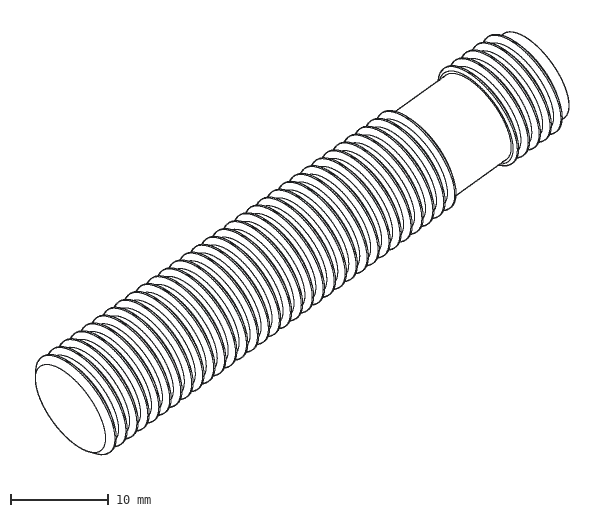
import cadquery as cq
import math

length = 64.5
crest_diameter = 12.0
root_diameter = 10.65
crest_radius = crest_diameter / 2
root_radius = root_diameter / 2
thread_height = crest_radius - root_radius

crest_width = 0.2
flank_half_angle = math.radians(30)
root_width = crest_width + 2 * thread_height * math.tan(flank_half_angle)
nose_chamfer = thread_height

main_ridge_count = 32
main_first = nose_chamfer + crest_width / 2
main_last = 48.05
rear_ridge_count = 5
rear_first = 56.8
rear_last = 62.85

shoulder_y = 56.45
shoulder_drop = (rear_first - crest_width / 2 - shoulder_y) / math.tan(flank_half_angle)
shoulder_radius = crest_radius - shoulder_drop

sensing_radius = 4.8
sensing_depth = 0.65
window_radius = 1.4
window_depth = 0.65
window_count = 4
window_y = 53.2


def disc(radius, thickness, start):
    """Cylinder about the Y axis, reaching from `start` toward +Y."""
    return cq.Workplane("XZ", origin=(0, start, 0)).circle(radius).extrude(-thickness)


def ridge_centres(first, last, count):
    """Evenly spaced ridge positions, including both ends."""
    pitch = (last - first) / (count - 1)
    return [first + i * pitch for i in range(count)]


def ridge_points(centre):
    """Corners of one ridge profile, from its front root to its rear root."""
    half_root = root_width / 2
    half_crest = crest_width / 2
    return [
        (root_radius, centre - half_root),
        (crest_radius, centre - half_crest),
        (crest_radius, centre + half_crest),
        (root_radius, centre + half_root),
    ]


def barrel():
    """Threaded barrel revolved in one piece, chamfered at the nose."""
    main_centres = ridge_centres(main_first, main_last, main_ridge_count)
    rear_centres = ridge_centres(rear_first, rear_last, rear_ridge_count)

    outline = [(0, 0), (crest_radius - nose_chamfer, 0)]
    outline += ridge_points(main_first)[1:]
    for centre in main_centres[1:]:
        outline += ridge_points(centre)
    outline += [(root_radius, shoulder_y), (shoulder_radius, shoulder_y)]
    outline += ridge_points(rear_first)[1:]
    for centre in rear_centres[1:]:
        outline += ridge_points(centre)
    outline += [(root_radius, length), (0, length)]
    return cq.Workplane("XY").polyline(outline).close().revolve(360, (0, 0, 0), (0, 1, 0))


def indicator_windows():
    """Round plugs spaced evenly about the Y axis, reaching past the barrel surface."""
    plug = (
        cq.Workplane("XY", origin=(0, window_y, root_radius - window_depth))
        .circle(window_radius)
        .extrude(2 * window_depth)
    )
    step = 360 / window_count
    return [plug.rotate((0, 0, 0), (0, 1, 0), i * step) for i in range(window_count)]


def fit_flush(body, blank):
    """Join an insert flush with the body, keeping the outline where their faces meet."""
    insert = body.intersect(blank)
    return body.cut(blank, clean=False).union(insert, clean=False)


result = barrel()
result = fit_flush(result, disc(sensing_radius, sensing_depth, 0))
for window in indicator_windows():
    result = fit_flush(result, window)